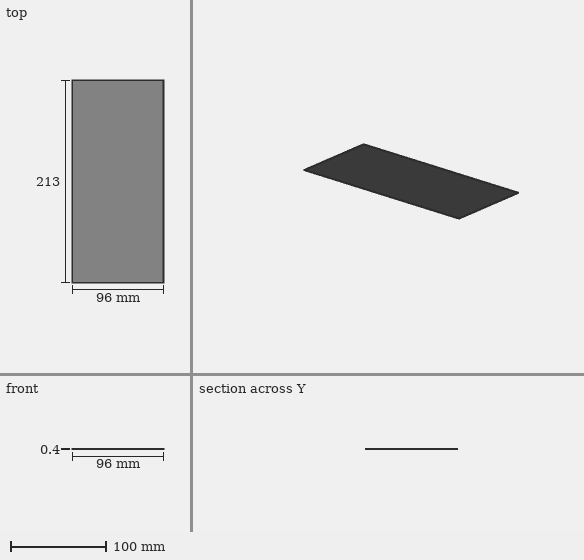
import cadquery as cq

width = 96.0
length = 213.0
thickness = 0.4

result = cq.Workplane("XY").box(width, length, thickness)